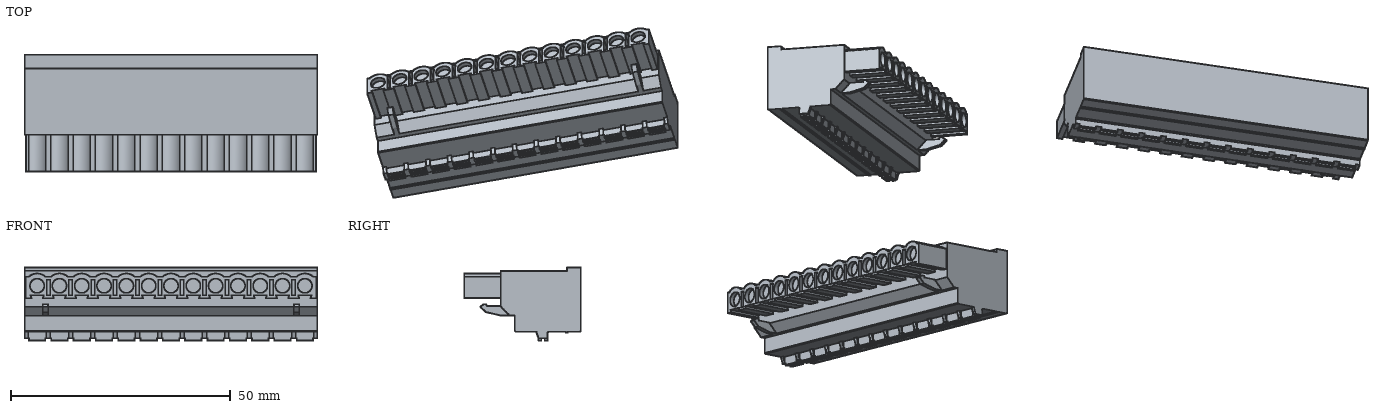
import cadquery as cq


LENGTH = 66.65
HOUSING_DEPTH = 18.25
HOUSING_TOP = 13.85
RIM_TOP = 14.65
RIM_DEPTH = 3.2
RIM_CHAMFER = 0.1
BASE_CHAMFER = 0.2
STEP_DEPTH = 3.2
STEP_UNDERSIDE = 3.65
SLOPE_DEPTH = 2.05

POLES = 13
PLUG_SIDE_GAP = 0.31
PLUG_WIDTH = LENGTH - 2 * PLUG_SIDE_GAP
PITCH = PLUG_WIDTH / POLES

PLUG_LENGTH = 8.3
PLUG_BOTTOM = 7.65
PLUG_SHOULDER = 12.45
SLEEVE_AXIS = 10.45
SLEEVE_RADIUS = 2.8
HOLE_DIAMETER = 3.25
HOLE_DEPTH = 1.1
SLOT_WIDTH = 0.8
SLOT_BOTTOM = 8.25
SLOT_TOP = 11.85
NOTCH_HEIGHT = 0.6
NOTCH_TOP_WIDTH = 3.05
NOTCH_MOUTH_WIDTH = 2.5

HOOK_WIDTH = 1.2
HOOK_OFFSET = 28.6
HOOK_TOP = 5.85
HOOK_REACH = 4.65
HOOK_TIP_HEIGHT = 5.65
BARB_TOP = 6.25
BARB_START = 3.1
BARB_CREST_START = 3.3
BARB_CREST_END = 3.9
HOOK_NOSE_REACH = 3.4
HOOK_NOSE_HEIGHT = 4.45

BAR_FRONT = 8.6
BAR_BACK = 10.65
BAR_HEIGHT = 1.5
BAR_BACK_CHAMFER = 0.25
GUSSET_WIDTH = 0.9
GUSSET_DEPTH = 0.5
FOOT_LENGTH = 3.8
FOOT_DEPTH = 0.65
FOOT_HEIGHT = 0.5
FOOT_CHAMFER = 0.1

BEAD_BACK_GAP = 3.0
BEAD_DEPTH = 0.45
BEAD_HEIGHT = 0.2

OVERLAP = 0.3

pole_centres = [(i - (POLES - 1) / 2) * PITCH for i in range(POLES)]
pole_gaps = [x + PITCH / 2 for x in pole_centres[:-1]]


def box(x_centre, x_size, y_range, z_range):
    """Box centred on x_centre that spans the given Y and Z ranges."""
    (y0, y1), (z0, z1) = y_range, z_range
    corner = (x_centre - x_size / 2, y0, z0)
    return cq.Workplane("XY").box(x_size, y1 - y0, z1 - z0, centered=False).translate(corner)


def side_profile(points, x_centre, width):
    """Closed (Y, Z) outline extruded along X, symmetric about x_centre."""
    plane = cq.Workplane("YZ", origin=(x_centre, 0, 0))
    return plane.polyline(points).close().extrude(width / 2, both=True)


def front_plane(y):
    """Plane facing the front: local x is X, local y is Z, extrusion goes towards -Y."""
    return cq.Workplane("XZ", origin=(0, y, 0))


def make_housing():
    rim_front = HOUSING_DEPTH - RIM_DEPTH
    outline = [
        (HOUSING_DEPTH - BASE_CHAMFER, 0),
        (HOUSING_DEPTH, BASE_CHAMFER),
        (HOUSING_DEPTH, RIM_TOP),
        (rim_front + RIM_CHAMFER, RIM_TOP),
        (rim_front, RIM_TOP - RIM_CHAMFER),
        (rim_front, HOUSING_TOP),
        (0, HOUSING_TOP),
        (0, STEP_UNDERSIDE + SLOPE_DEPTH),
        (SLOPE_DEPTH, STEP_UNDERSIDE),
        (STEP_DEPTH, STEP_UNDERSIDE),
        (STEP_DEPTH, BASE_CHAMFER),
        (STEP_DEPTH + BASE_CHAMFER, 0),
    ]
    return side_profile(outline, 0, LENGTH)


def make_plug():
    plug = box(0, PLUG_WIDTH, (-PLUG_LENGTH, OVERLAP), (PLUG_BOTTOM, PLUG_SHOULDER))
    sleeve_spots = [(x, SLEEVE_AXIS) for x in pole_centres]
    sleeve_length = PLUG_LENGTH + OVERLAP
    for x in pole_centres:
        sleeve = front_plane(OVERLAP).center(x, SLEEVE_AXIS).circle(SLEEVE_RADIUS).extrude(sleeve_length)
        cell = box(x, PITCH, (-PLUG_LENGTH, OVERLAP), (SLEEVE_AXIS, RIM_TOP))
        plug = plug.union(sleeve.intersect(cell))

    holes = front_plane(HOLE_DEPTH - PLUG_LENGTH).pushPoints(sleeve_spots)
    plug = plug.cut(holes.circle(HOLE_DIAMETER / 2).extrude(HOLE_DEPTH))

    for x in pole_gaps:
        plug = plug.cut(box(x, SLOT_WIDTH, (-PLUG_LENGTH, 0), (SLOT_BOTTOM, SLOT_TOP)))

    notch_top = PLUG_BOTTOM + NOTCH_HEIGHT
    for x in pole_centres:
        dovetail = [
            (x - NOTCH_MOUTH_WIDTH / 2, PLUG_BOTTOM),
            (x + NOTCH_MOUTH_WIDTH / 2, PLUG_BOTTOM),
            (x + NOTCH_TOP_WIDTH / 2, notch_top),
            (x - NOTCH_TOP_WIDTH / 2, notch_top),
        ]
        plug = plug.cut(front_plane(0).polyline(dovetail).close().extrude(PLUG_LENGTH))
    return plug


def make_hook(x):
    outline = [
        (STEP_DEPTH, STEP_UNDERSIDE),
        (STEP_DEPTH, HOOK_TOP),
        (-BARB_START, HOOK_TOP),
        (-BARB_CREST_START, BARB_TOP),
        (-BARB_CREST_END, BARB_TOP),
        (-HOOK_REACH, HOOK_TIP_HEIGHT),
        (-HOOK_NOSE_REACH, HOOK_NOSE_HEIGHT),
        (0, STEP_UNDERSIDE),
    ]
    return side_profile(outline, x, HOOK_WIDTH)


def make_bar():
    outline = [
        (BAR_FRONT, OVERLAP),
        (BAR_FRONT, -BAR_HEIGHT),
        (BAR_BACK, -BAR_HEIGHT),
        (BAR_BACK, -BAR_BACK_CHAMFER),
        (BAR_BACK + BAR_BACK_CHAMFER, 0),
        (BAR_BACK + BAR_BACK_CHAMFER, OVERLAP),
    ]
    bar = side_profile(outline, 0, LENGTH)

    gusset = [
        (BAR_FRONT + OVERLAP, 0),
        (BAR_FRONT - GUSSET_DEPTH, 0),
        (BAR_FRONT, -BAR_HEIGHT),
        (BAR_FRONT + OVERLAP, -BAR_HEIGHT),
    ]
    for x in pole_gaps:
        bar = bar.union(side_profile(gusset, x, GUSSET_WIDTH))
    end_width = PLUG_SIDE_GAP + GUSSET_WIDTH / 2
    for side in (-1, 1):
        bar = bar.union(side_profile(gusset, side * (LENGTH - end_width) / 2, end_width))

    foot_z = (-BAR_HEIGHT - FOOT_HEIGHT, OVERLAP)
    for x in pole_centres:
        for y in (BAR_FRONT, BAR_BACK - FOOT_DEPTH):
            foot = box(x, FOOT_LENGTH, (y, y + FOOT_DEPTH), foot_z)
            bar = bar.union(foot.faces("<Z").edges("<Y").chamfer(FOOT_CHAMFER))
    return bar


def make_bead():
    back = HOUSING_DEPTH - BEAD_BACK_GAP
    return box(0, LENGTH, (back - BEAD_DEPTH, back), (-BEAD_HEIGHT, OVERLAP))


result = make_housing().union(make_plug()).union(make_bar()).union(make_bead())
for side in (-1, 1):
    result = result.union(make_hook(side * HOOK_OFFSET))